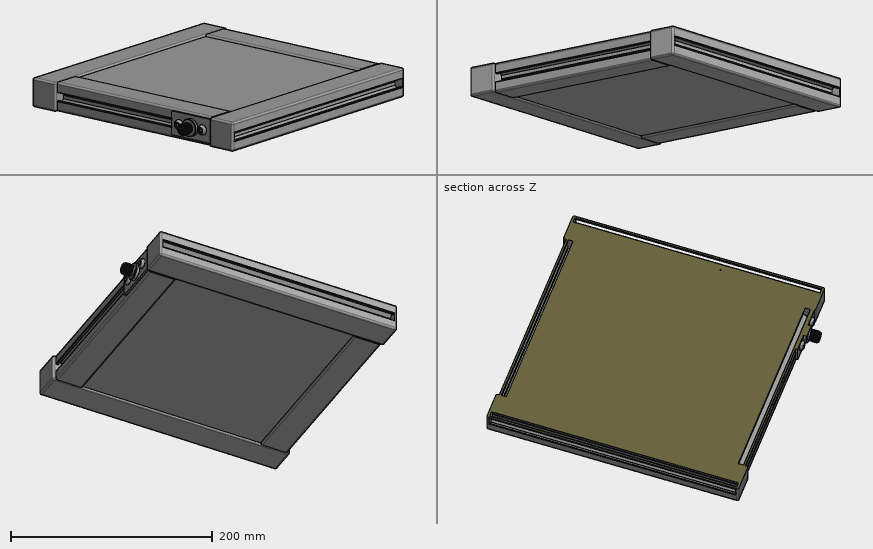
import cadquery as cq
import math

profile_size = 30.0
frame_width = 260.0
bar_length = 260.0
edge_radius = 2.0
opening = frame_width - 2 * profile_size
bar_offset = (frame_width - profile_size) / 2

cap_thickness = 3.0

slot_mouth_half = 4.2
slot_mouth_chamfer = 0.7
slot_lip = 2.5
slot_cavity_half = 8.2
slot_floor_half = 4.0
slot_depth = 9.5
slot_taper_start = slot_depth - (slot_cavity_half - slot_floor_half)
floor_mark_half = 0.5

panel_thickness = profile_size - 2 * edge_radius

front_face_y = -bar_length / 2
plate_width = 50.0
plate_height = 25.0
plate_thickness = 2.0
plate_corner_radius = 1.5
plate_x = opening / 2 - plate_width / 2
plate_z = 0.5
plate_face_y = front_face_y - plate_thickness

screw_spacing = 30.0
screw_head_radius = 5.25
screw_top_radius = 3.0
screw_head_height = 3.3
screw_dome_middle_radius = 4.7
screw_dome_middle_height = 2.0
screw_socket_size = 4.0
screw_socket_depth = 1.6
screw_socket_cone_depth = 1.0

connector_length = 14.38
flange_radius = 9.0
flange_height = 3.5
flange_chamfer = 0.5
thread_start = 5.4
thread_radius = 6.0
thread_pitch = 1.0
thread_turns = 8
thread_root_radius = 5.2
bore_radius = 4.2
bore_depth = 8.0
pin_radius = 0.5
pin_length = 6.0
pin_circle_radius = 2.5
first_pin_angle = 45.0
ring_pin_count = 4


def slot_cutter(length):
    """T-slot open towards -Y at the plane Y = 0, running along X."""
    upper_side = [
        (0, slot_mouth_half + slot_mouth_chamfer),
        (slot_mouth_chamfer, slot_mouth_half),
        (slot_lip, slot_mouth_half),
        (slot_lip, slot_cavity_half),
        (slot_taper_start, slot_cavity_half),
        (slot_depth, slot_floor_half),
        (slot_depth, floor_mark_half),
    ]
    lower_side = [(depth, -height) for depth, height in reversed(upper_side)]
    mark_bottom = [(slot_depth + floor_mark_half, 0)]
    outline = upper_side + mark_bottom + lower_side
    return cq.Workplane("YZ").polyline(outline).close().extrude(length / 2, both=True)


def front_bar(length, cap):
    """Bar along X with its slot facing -Y and an end cap of the given thickness at each end."""
    total_length = length + 2 * cap
    bar = cq.Workplane("XY").box(total_length, profile_size, profile_size)
    if cap > 0:
        bar = bar.edges().fillet(edge_radius)
    else:
        bar = bar.edges("|X").fillet(edge_radius)
    return bar.cut(slot_cutter(length).translate((0, -profile_size / 2, 0)))


def frame():
    """Two plain cross bars between two capped side bars, slots facing outwards."""
    cross_bar = front_bar(opening, 0).translate((0, -bar_offset, 0))
    side_bar = front_bar(bar_length, cap_thickness).translate((0, -bar_offset, 0))
    panel = cq.Workplane("XY").box(opening, opening, panel_thickness)
    body = panel
    for bar, angle in ((cross_bar, 0), (cross_bar, 180), (side_bar, 90), (side_bar, 270)):
        body = body.union(bar.rotate((0, 0, 0), (0, 0, 1), angle))
    return body


def connector_plate():
    plate = cq.Workplane("XY").box(plate_width, plate_thickness, plate_height)
    plate = plate.edges("|Y").fillet(plate_corner_radius)
    return plate.translate((plate_x, front_face_y - plate_thickness / 2, plate_z))


def facing_front(shape, x):
    """Stand a shape built along +Z on the plate face at the given X, pointing to -Y."""
    return shape.rotate((0, 0, 0), (1, 0, 0), 90).translate((x, plate_face_y, plate_z))


def button_screw():
    """Domed head, built along +Z, with a hexagon socket ending in a cone."""
    dome_middle = (screw_dome_middle_radius, screw_dome_middle_height)
    head = (
        cq.Workplane("XZ")
        .moveTo(0, 0)
        .lineTo(screw_head_radius, 0)
        .threePointArc(dome_middle, (screw_top_radius, screw_head_height))
        .lineTo(0, screw_head_height)
        .close()
        .revolve(360, (0, 0), (0, 1))
    )
    socket_floor = screw_head_height - screw_socket_depth
    socket = (
        cq.Workplane("XY", origin=(0, 0, socket_floor))
        .polygon(6, screw_socket_size / math.cos(math.pi / 6))
        .extrude(screw_socket_depth)
    )
    cone_bottom = socket_floor - screw_socket_cone_depth
    cone = (
        cq.Workplane("XZ")
        .polyline([(0, cone_bottom), (screw_socket_size / 2, socket_floor), (0, socket_floor)])
        .close()
        .revolve(360, (0, 0), (0, 1))
    )
    return head.cut(socket).cut(cone)


def connector():
    """Flange, neck and externally threaded sleeve with contact pins, built along +Z.

    The thread is a stack of V-shaped rings, one per pitch.
    """
    outline = [
        (0, 0),
        (flange_radius, 0),
        (flange_radius, flange_height - flange_chamfer),
        (flange_radius - flange_chamfer, flange_height),
        (thread_root_radius, flange_height),
    ]
    for turn in range(thread_turns):
        ring_start = thread_start + turn * thread_pitch
        outline.append((thread_root_radius, ring_start))
        outline.append((thread_radius, ring_start + thread_pitch / 2))
    outline += [
        (thread_root_radius, thread_start + thread_turns * thread_pitch),
        (thread_root_radius, connector_length),
        (0, connector_length),
    ]
    body = cq.Workplane("XZ").polyline(outline).close().revolve(360, (0, 0), (0, 1))
    bore_floor = connector_length - bore_depth
    bore = cq.Workplane("XY", origin=(0, 0, bore_floor)).circle(bore_radius).extrude(bore_depth)
    pin_base = cq.Workplane("XY", origin=(0, 0, bore_floor))
    centre_pin = pin_base.circle(pin_radius).extrude(pin_length)
    ring_pins = (
        pin_base.polarArray(pin_circle_radius, first_pin_angle, 360, ring_pin_count)
        .circle(pin_radius)
        .extrude(pin_length)
    )
    return body.cut(bore).union(centre_pin).union(ring_pins)


result = frame().union(connector_plate())
for side in (-1, 1):
    result = result.union(facing_front(button_screw(), plate_x + side * screw_spacing / 2))
result = result.union(facing_front(connector(), plate_x))